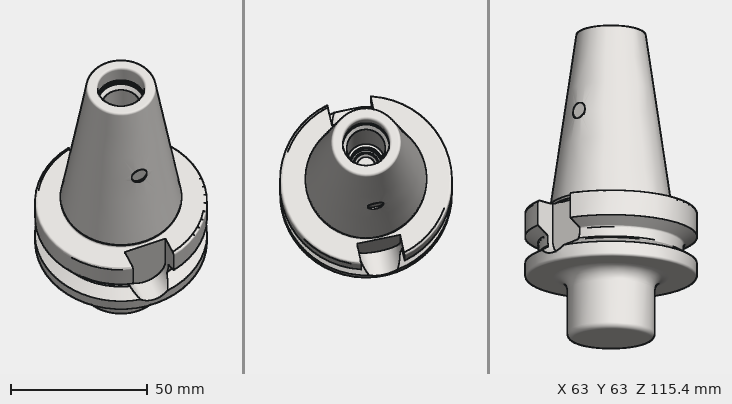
import cadquery as cq
import math

TOTAL_HEIGHT = 115.4
EDGE_ROUND = 1.0

NOSE_RADIUS = 16.0
NOSE_TIP_ROUND = 2.0
NOSE_ROOT_ROUND = 5.0

FLANGE_RADIUS = 31.5
FLANGE_BOTTOM_Z = 23.1
FLANGE_TOP_Z = 48.0
GROOVE_RADIUS = 26.5
GROOVE_ROOT_ROUND = 0.7
GROOVE_MIDDLE_Z = 33.5
GROOVE_MOUTH_WIDTH = 10.0
GROOVE_FLANK_ANGLE = 30.0
GROOVE_DEPTH = FLANGE_RADIUS - GROOVE_RADIUS
GROOVE_FLOOR_WIDTH = GROOVE_MOUTH_WIDTH - 2 * GROOVE_DEPTH * math.tan(math.radians(GROOVE_FLANK_ANGLE))

GAUGE_Z = 50.0
GAUGE_RADIUS = 44.4 / 2
TAPER_SLOPE = 7 / 24 / 2
TAPER_TIP_RADIUS = GAUGE_RADIUS - TAPER_SLOPE * (TOTAL_HEIGHT - GAUGE_Z)
RELIEF_RADIUS = 21.8
RELIEF_Z = 49.0
RELIEF_ROOT_ROUND = 0.7

SLOT_WIDTH = 16.2
SLOT_FLOOR_X = 22.6
SLOT_BOTTOM_Z = 26.4

BORE_RADIUS = 8.5
UNDERCUT_RADIUS = 9.2
UNDERCUT_TOP_Z = 108.5
UNDERCUT_SLOPE_Z = 106.9
UNDERCUT_BOTTOM_Z = 106.0
INNER_RADIUS = 7.0
CONE_BOTTOM_Z = UNDERCUT_BOTTOM_Z - (BORE_RADIUS - INNER_RADIUS)

SEAT_Z = 78.5
RECESS_MOUTH_RADIUS = 5.9
RECESS_RADIUS = 5.5
RECESS_FLOOR_Z = 75.0
WELL_MOUTH_RADIUS = 4.7
WELL_RADIUS = 4.4
WELL_CHAMFER_Z = 73.9
WELL_FLOOR_RADIUS = 3.3
KEYWAY_WIDTH = 3.0
KEYWAY_DEPTH = 2.3

PLUG_RADIUS = 3.0
PLUG_Z = 83.0
PLUG_OUTER_X = 17.1
PLUG_INNER_X = 6.3


def revolve_corners(corners):
    """Revolve a closed outline of (radius, z, corner rounding) about Z."""
    points = [cq.Vector(0, -radius, z) for radius, z, _ in corners]
    face = cq.Face.makeFromWires(cq.Wire.makePolygon(points, close=True))
    for point, (_, _, rounding) in zip(points, corners):
        if rounding > 0:
            nearest = min(face.Vertices(), key=lambda vertex: (vertex.Center() - point).Length)
            face = face.fillet2D(rounding, [nearest])
    solid = cq.Solid.revolve(face, 360, cq.Vector(0, 0, 0), cq.Vector(0, 0, 1))
    return cq.Workplane(obj=solid)


def make_body():
    half_mouth = GROOVE_MOUTH_WIDTH / 2
    half_floor = GROOVE_FLOOR_WIDTH / 2
    recess_chamfer = RECESS_MOUTH_RADIUS - RECESS_RADIUS
    well_mouth_chamfer = WELL_MOUTH_RADIUS - WELL_RADIUS
    well_floor_z = WELL_CHAMFER_Z - (WELL_RADIUS - WELL_FLOOR_RADIUS)
    return revolve_corners([
        (0, 0, 0),
        (NOSE_RADIUS, 0, NOSE_TIP_ROUND),
        (NOSE_RADIUS, FLANGE_BOTTOM_Z, NOSE_ROOT_ROUND),
        (FLANGE_RADIUS, FLANGE_BOTTOM_Z, EDGE_ROUND),
        (FLANGE_RADIUS, GROOVE_MIDDLE_Z - half_mouth, 0),
        (GROOVE_RADIUS, GROOVE_MIDDLE_Z - half_floor, GROOVE_ROOT_ROUND),
        (GROOVE_RADIUS, GROOVE_MIDDLE_Z + half_floor, GROOVE_ROOT_ROUND),
        (FLANGE_RADIUS, GROOVE_MIDDLE_Z + half_mouth, 0),
        (FLANGE_RADIUS, FLANGE_TOP_Z, EDGE_ROUND),
        (RELIEF_RADIUS, FLANGE_TOP_Z, RELIEF_ROOT_ROUND),
        (RELIEF_RADIUS, RELIEF_Z, 0),
        (GAUGE_RADIUS, GAUGE_Z, 0),
        (TAPER_TIP_RADIUS, TOTAL_HEIGHT, EDGE_ROUND),
        (BORE_RADIUS, TOTAL_HEIGHT, EDGE_ROUND),
        (BORE_RADIUS, UNDERCUT_TOP_Z, 0),
        (UNDERCUT_RADIUS, UNDERCUT_SLOPE_Z, 0),
        (UNDERCUT_RADIUS, UNDERCUT_BOTTOM_Z, 0),
        (BORE_RADIUS, UNDERCUT_BOTTOM_Z, 0),
        (INNER_RADIUS, CONE_BOTTOM_Z, 0),
        (INNER_RADIUS, SEAT_Z, 0),
        (RECESS_MOUTH_RADIUS, SEAT_Z, 0),
        (RECESS_RADIUS, SEAT_Z - recess_chamfer, 0),
        (RECESS_RADIUS, RECESS_FLOOR_Z, 0),
        (WELL_MOUTH_RADIUS, RECESS_FLOOR_Z, 0),
        (WELL_RADIUS, RECESS_FLOOR_Z - well_mouth_chamfer, 0),
        (WELL_RADIUS, WELL_CHAMFER_Z, 0),
        (WELL_FLOOR_RADIUS, well_floor_z, 0),
        (0, well_floor_z, 0),
    ])


def make_drive_slot(side):
    """Round-bottomed slot open to the top and the rim; side is +1 or -1 along X."""
    half_width = SLOT_WIDTH / 2
    arc_centre_z = SLOT_BOTTOM_Z + half_width
    return (
        cq.Workplane("YZ", origin=(side * SLOT_FLOOR_X, 0, 0))
        .moveTo(-half_width, FLANGE_TOP_Z)
        .lineTo(-half_width, arc_centre_z)
        .threePointArc((0, SLOT_BOTTOM_Z), (half_width, arc_centre_z))
        .lineTo(half_width, FLANGE_TOP_Z)
        .close()
        .extrude(side * (FLANGE_RADIUS - SLOT_FLOOR_X))
    )


def make_keyway():
    """Straight slot along Y across the seat, ending at the bore wall."""
    seat = cq.Workplane("XY", origin=(0, 0, SEAT_Z))
    bar = seat.rect(KEYWAY_WIDTH, 2 * INNER_RADIUS).extrude(-KEYWAY_DEPTH)
    bore = seat.circle(INNER_RADIUS).extrude(-KEYWAY_DEPTH)
    return bar.intersect(bore)


def make_side_cylinder(start_x, end_x):
    """Cylinder along X at the height of the plug."""
    return (
        cq.Workplane("YZ", origin=(start_x, 0, PLUG_Z))
        .circle(PLUG_RADIUS)
        .extrude(end_x - start_x)
    )


result = make_body()
for slot_side in (-1, 1):
    result = result.cut(make_drive_slot(slot_side))
result = result.cut(make_keyway())
result = result.union(make_side_cylinder(PLUG_INNER_X, PLUG_OUTER_X))
result = result.cut(make_side_cylinder(PLUG_OUTER_X, GAUGE_RADIUS))